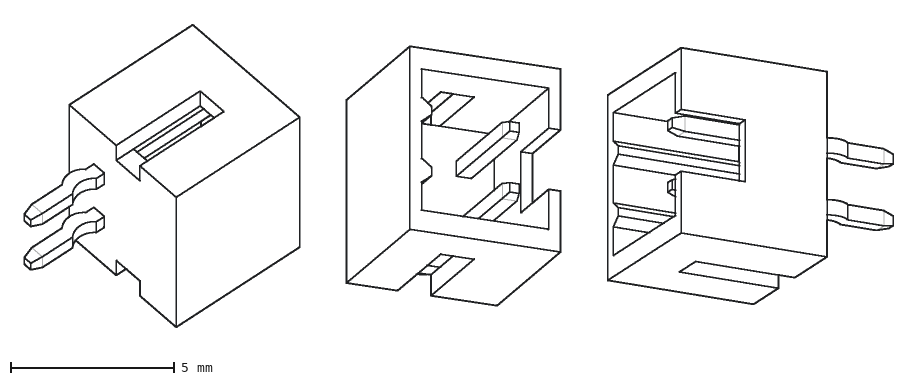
import cadquery as cq


length = 7.9

width = 5.0
depth = 5.0
height = 6.0
floor = 0.7
end_wall = 0.69
side_wall = 0.395

pitch = 2.0
window_height = pitch
window_depth = 2.2
slot_start = 2.2
slot_width = 1.105
slot_length = 3.4

pin_x = 1.4
pin_size = 0.5
tip_size = 0.31
tip_length = 0.39
pin_tail = length - depth
pin_recess = 0.315
bend_start = 0.32
bend_length = 0.96
bend_offset = 0.205

rib_base = 0.775
rib_top = 0.27
rib_rise = 0.33


def box(x, y, z, x_size, y_size, z_size):
    """Box from its low corner and its sizes."""
    return cq.Workplane("XY").box(x_size, y_size, z_size, centered=False).translate((x, y, z))


def make_housing():
    body = box(0, 0, -height / 2, width, depth, height)
    cavity_height = height - 2 * end_wall
    cavity = box(
        side_wall, floor, -cavity_height / 2,
        width - 2 * side_wall, depth - floor, cavity_height,
    )
    window = box(
        0, depth - window_depth, -window_height / 2,
        side_wall, window_depth, window_height,
    )
    body = body.cut(cavity).cut(window)
    for slot_z in (-height / 2, height / 2 - end_wall):
        body = body.cut(box(slot_start, 0, slot_z, slot_width, slot_length, end_wall))
    return body


def make_rib(z):
    """Trapezoidal rib running from the floor to the rim."""
    wall_x = width - side_wall
    crest_x = wall_x - rib_rise
    outline = [
        (width, z - rib_base / 2),
        (wall_x, z - rib_base / 2),
        (crest_x, z - rib_top / 2),
        (crest_x, z + rib_top / 2),
        (wall_x, z + rib_base / 2),
        (width, z + rib_base / 2),
    ]
    rim_plane = cq.Workplane("XZ", origin=(0, depth, 0))
    return rim_plane.polyline(outline).close().extrude(depth - floor / 2)


def make_tip(y, direction, z):
    """Tapered pin end starting at y and pointing along +Y or -Y."""
    plane = cq.Plane(origin=(pin_x, y, z), xDir=(1, 0, 0), normal=(0, direction, 0))
    base = cq.Workplane(plane).rect(pin_size, pin_size)
    return base.workplane(offset=tip_length).rect(tip_size, tip_size).loft(ruled=True)


def make_pin(z):
    """Square pin with a retaining bend toward -X just below the base."""
    left = pin_x - pin_size / 2
    right = pin_x + pin_size / 2
    low = tip_length - pin_tail
    high = depth - pin_recess - tip_length
    bend_top = -bend_start
    bend_bottom = bend_top - bend_length
    bend_middle = (bend_top + bend_bottom) / 2
    shank = (
        cq.Workplane("XY", origin=(0, 0, z - pin_size / 2))
        .moveTo(left, low)
        .lineTo(left, bend_bottom)
        .threePointArc((left - bend_offset, bend_middle), (left, bend_top))
        .lineTo(left, high)
        .lineTo(right, high)
        .lineTo(right, bend_top)
        .threePointArc((right - bend_offset, bend_middle), (right, bend_bottom))
        .lineTo(right, low)
        .close()
        .extrude(pin_size)
    )
    return shank.union(make_tip(low, -1, z)).union(make_tip(high, 1, z))


result = make_housing()
for pin_z in (-pitch / 2, pitch / 2):
    result = result.union(make_rib(pin_z)).union(make_pin(pin_z))